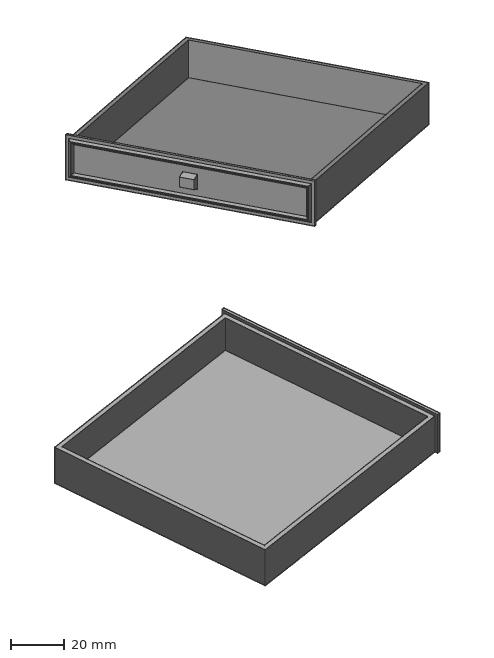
import cadquery as cq

front_width = 103.0
front_height = 18.5
plate_thickness = 1.3
overhang = 1.3

box_depth = 103.0
wall = 1.9
floor_thickness = 1.7
box_width = front_width - 2 * overhang
box_height = front_height - overhang

frame_margin = 1.3
frame_rise = 0.9
frame_crest = 0.4
frame_base_width = 2 * frame_rise + frame_crest

knob_width = 6.1
knob_base_height = 6.1
knob_tip_height = 4.1
knob_length = 3.0

panel_y = -plate_thickness
mid_height = front_height / 2


def make_box():
    outer = cq.Workplane("XY").box(box_width, box_depth, box_height, centered=(True, False, False))
    cavity = (
        cq.Workplane("XY")
        .box(box_width - 2 * wall, box_depth - 2 * wall, box_height, centered=(True, False, False))
        .translate((0, wall, floor_thickness))
    )
    return outer.cut(cavity)


def make_plate():
    plate = cq.Workplane("XY").box(front_width, plate_thickness, front_height, centered=(True, False, False))
    return plate.translate((0, panel_y, 0))


def front_frustum(base_inset, tip_inset):
    """Rectangular frustum rising from the panel, inset from the plate edges."""
    return (
        cq.Workplane("XZ", origin=(0, panel_y, mid_height))
        .rect(front_width - 2 * base_inset, front_height - 2 * base_inset)
        .workplane(offset=frame_rise)
        .rect(front_width - 2 * tip_inset, front_height - 2 * tip_inset)
        .loft(ruled=True)
    )


def make_frame():
    inner_base = frame_margin + frame_base_width
    outer = front_frustum(frame_margin, frame_margin + frame_rise)
    recess = front_frustum(inner_base, inner_base - frame_rise)
    return outer.cut(recess)


def make_knob():
    tip_y = panel_y - knob_length
    half_base = knob_base_height / 2
    half_tip = knob_tip_height / 2
    profile = [
        (panel_y, mid_height - half_base),
        (panel_y, mid_height + half_base),
        (tip_y, mid_height + half_tip),
        (tip_y, mid_height - half_tip),
    ]
    return cq.Workplane("YZ").polyline(profile).close().extrude(knob_width / 2, both=True)


result = make_box().union(make_plate()).union(make_frame()).union(make_knob())